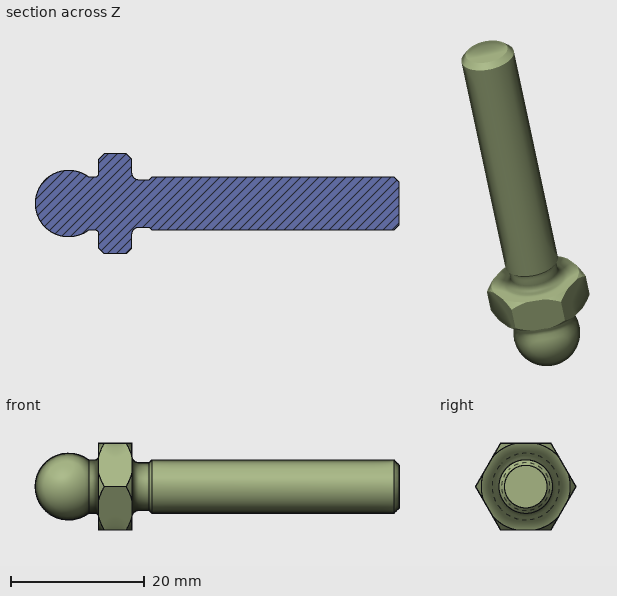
import cadquery as cq
import math

total_length = 54.5
ball_radius = 5.0
stud_diameter = 8.0
hex_start = 9.5
hex_width = 5.0
hex_across_flats = 13.0
hex_chamfer = 0.85
neck_fillet = 0.5
relief_radius = 3.6
relief_fillet = 1.0
relief_end = 17.05
end_chamfer = 0.8

stud_radius = stud_diameter / 2
hex_end = hex_start + hex_width
hex_corner_radius = hex_across_flats / math.sqrt(3)
neck_start = ball_radius + math.sqrt(ball_radius**2 - stud_radius**2)
arc_middle = 1 - math.sqrt(0.5)


def make_ball_and_neck():
    """Ball running into a neck that flares into the hexagon face."""
    profile = (
        cq.Workplane("XY")
        .moveTo(0, 0)
        .threePointArc((ball_radius, ball_radius), (neck_start, stud_radius))
        .lineTo(hex_start - neck_fillet, stud_radius)
        .threePointArc(
            (hex_start - arc_middle * neck_fillet, stud_radius + arc_middle * neck_fillet),
            (hex_start, stud_radius + neck_fillet),
        )
        .lineTo(hex_end, stud_radius + neck_fillet)
        .lineTo(hex_end, 0)
        .close()
    )
    return profile.revolve(360, (0, 0), (1, 0))


def make_shank():
    """Undercut filleted to the hexagon, then the shank with its end chamfer."""
    relief_step = stud_radius - relief_radius
    profile = (
        cq.Workplane("XY")
        .moveTo(hex_start, 0)
        .lineTo(hex_start, relief_radius + relief_fillet)
        .lineTo(hex_end, relief_radius + relief_fillet)
        .threePointArc(
            (hex_end + arc_middle * relief_fillet, relief_radius + arc_middle * relief_fillet),
            (hex_end + relief_fillet, relief_radius),
        )
        .lineTo(relief_end, relief_radius)
        .lineTo(relief_end + relief_step, stud_radius)
        .lineTo(total_length - end_chamfer, stud_radius)
        .lineTo(total_length, stud_radius - end_chamfer)
        .lineTo(total_length, 0)
        .close()
    )
    return profile.revolve(360, (0, 0), (1, 0))


def make_hexagon():
    """Hexagon with corners along Y, its corners turned down at both faces."""
    hexagon = (
        cq.Workplane("YZ")
        .workplane(offset=hex_start)
        .polygon(6, 2 * hex_corner_radius)
        .extrude(hex_width)
    )
    chamfered_disc = (
        cq.Workplane("YZ")
        .workplane(offset=hex_start)
        .circle(hex_corner_radius)
        .extrude(hex_width)
        .edges("%CIRCLE")
        .chamfer(hex_chamfer)
    )
    return hexagon.intersect(chamfered_disc)


result = make_hexagon().union(make_ball_and_neck()).union(make_shank())